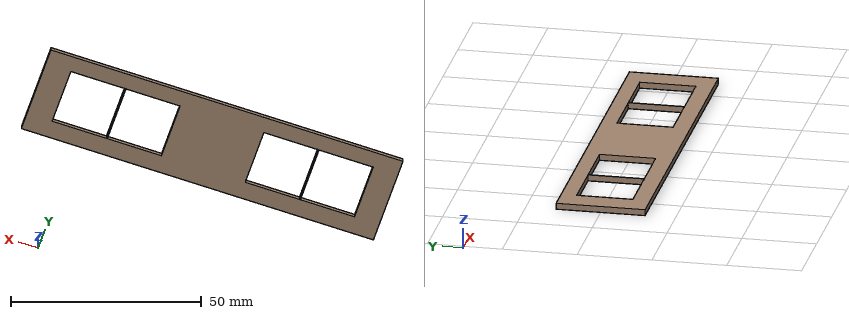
import cadquery as cq

plate_length = 97.63
plate_width = 23.81
plate_thickness = 1.7

window_size = 15.0
web_thickness = 0.3
pair_length = 2 * window_size + web_thickness

left_margin = 6.85
right_margin = 6.95
back_margin = 4.15

window_pitch = window_size + web_thickness
left_pair_x = -plate_length / 2 + left_margin + pair_length / 2
right_pair_x = plate_length / 2 - right_margin - pair_length / 2
window_y = plate_width / 2 - back_margin - window_size / 2


def make_plate():
    return cq.Workplane("XY").box(plate_length, plate_width, plate_thickness)


def cut_window_pair(body, pair_x):
    """Cut two square through windows either side of the web at pair_x."""
    centres = [(pair_x + side * window_pitch / 2, window_y) for side in (-1, 1)]
    windows = (
        cq.Workplane("XY")
        .pushPoints(centres)
        .rect(window_size, window_size)
        .extrude(plate_thickness, both=True)
    )
    return body.cut(windows)


result = make_plate()
for pair_x in (left_pair_x, right_pair_x):
    result = cut_window_pair(result, pair_x)